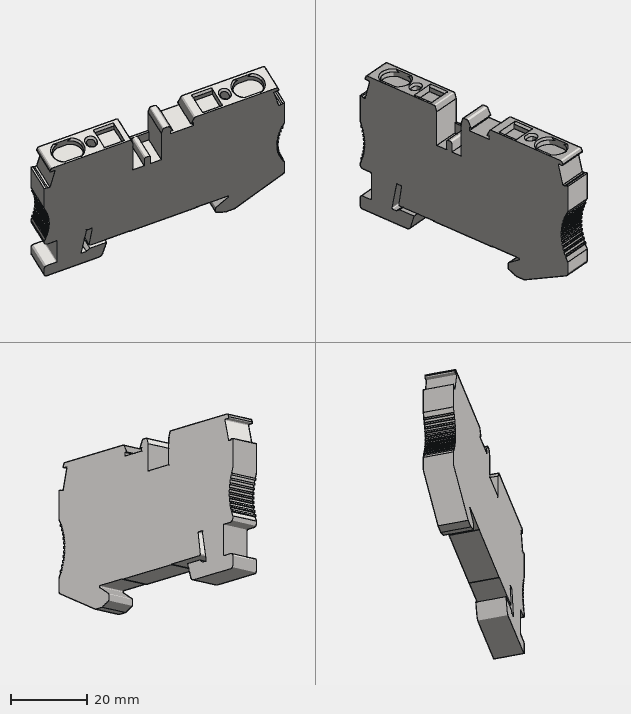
import cadquery as cq
import math

length = 69.55
height = 42.2
thickness = 8.2
half_length = length / 2

lip_top_y = 32.7
lip_tip_y = 33.1
lip_tip_z = 41.3
lip_underside_z = 40.9
groove_neck_y = 31.6
shoulder_inner_z = 34.9
shoulder_outer_z = 35.1
shoulder_flat_y = 34.2
shoulder_step_y = 33.75

notch_ear_z = 40.1
notch_floor_z = 39.1
notch_ear_left_y = 7.65
notch_ear_right_y = 2.4
notch_left_y = 8.35
notch_right_y = 1.8
notch_mouth_left_y = 8.75
notch_mouth_right_y = 1.3
slot_left_y = -0.9
slot_right_y = -9.1
slot_floor_z = 33.2
slot_bevel_width = 0.55
slot_bevel_z = 40.55

body_bottom_z = 6.05
claw_slope_top_z = 7.2
claw_flat_start_y = 20.25
claw_flat_end_y = 17.5
claw_nose_y = 14.8
claw_nose_low_z = 1.25
claw_nose_high_z = 3.1
claw_root_y = 19.2
spring_gap_top_z = 12.6
spring_gap_bottom_z = 4.1
body_corner_y = -21.85
gap_top_left_y = -20.9
gap_top_right_y = -22.55
gap_bottom_right_y = -24.15
gap_bottom_left_y = -22.6
hook_top_z = 4.9
hook_top_y = -21.55
hook_tip_y = -16.7
hook_heel_y = -18.15
stem_y = -31.0
pad_depth = 0.15
pad_start_y = 9.4
pad_end_y = -10.15

grip_radius = 15.0
rib_pitch = 1.25
rib_width = 0.5
rib_height = 0.35
rib_root = 0.2
front_grip_z = 20.6
front_grip_half_chord = 6.5
front_rib_count = 9
front_grip_edge_round = 2.1
back_grip_z = 19.35
back_grip_half_chord = 7.85
back_rib_count = 11

small_round = 0.3
stem_round = 0.35
edge_round = 0.4
lip_round = 0.55
notch_round = 0.7
foot_round = 0.8
end_round = 1.05
heel_round = 1.25

along_x = 0
along_y = 90
opening_x = 0.15
opening_width = 6.75
opening_depth = 2.1
lead_in_depth = 0.7
wire_y = 26.1
wire_length = 9.1
wire_end_radius = 3.9
wire_inset = 0.4
test_hole_y = 19.35
test_hole_width = 3.8
test_hole_length = 3.1
test_hole_inset = 0.5
test_hole_depth = 3.5
window_y = 14.2
window_length = 5.8
window_inset = 0.5

recess_wall = 0.6
recess_depth = 3.1
floor_rib_start_y = -4.0
floor_rib_end_y = -5.85
floor_rib_round = 0.6


def outline_points():
    """Side outline as (y, z), from the +Y end over the top and back along the rail foot."""
    return [
        (half_length, claw_slope_top_z),
        (half_length, shoulder_outer_z),
        (shoulder_flat_y, shoulder_outer_z),
        (shoulder_step_y, shoulder_inner_z),
        (lip_tip_y, shoulder_inner_z),
        (groove_neck_y, lip_underside_z),
        (lip_tip_y, lip_underside_z),
        (lip_tip_y, lip_tip_z),
        (lip_top_y, height),
        (notch_mouth_left_y, height),
        (notch_ear_left_y, notch_ear_z),
        (notch_left_y, notch_ear_z),
        (notch_left_y, notch_floor_z),
        (notch_right_y, notch_floor_z),
        (notch_right_y, notch_ear_z),
        (notch_ear_right_y, notch_ear_z),
        (notch_mouth_right_y, height),
        (slot_left_y + slot_bevel_width, height),
        (slot_left_y, slot_bevel_z),
        (slot_left_y, slot_floor_z),
        (slot_right_y, slot_floor_z),
        (slot_right_y, slot_bevel_z),
        (slot_right_y - slot_bevel_width, height),
        (-lip_top_y, height),
        (-lip_tip_y, lip_tip_z),
        (-lip_tip_y, lip_underside_z),
        (-groove_neck_y, lip_underside_z),
        (-lip_tip_y, shoulder_inner_z),
        (-shoulder_step_y, shoulder_inner_z),
        (-shoulder_flat_y, shoulder_outer_z),
        (-half_length, shoulder_outer_z),
        (-half_length, spring_gap_top_z),
        (stem_y, spring_gap_top_z),
        (stem_y, spring_gap_bottom_z),
        (-half_length, spring_gap_bottom_z),
        (-half_length, 0),
        (hook_heel_y, 0),
        (hook_tip_y, hook_top_z),
        (hook_top_y, hook_top_z),
        (gap_bottom_left_y, spring_gap_bottom_z),
        (gap_bottom_right_y, spring_gap_bottom_z),
        (gap_top_right_y, spring_gap_top_z),
        (gap_top_left_y, spring_gap_top_z),
        (body_corner_y, body_bottom_z),
        (claw_root_y, body_bottom_z),
        (claw_nose_y, claw_nose_high_z),
        (claw_nose_y, claw_nose_low_z),
        (claw_flat_end_y, 0),
        (claw_flat_start_y, 0),
    ]


rounded_corners = [
    (half_length, claw_slope_top_z, end_round),
    (lip_top_y, height, lip_round),
    (-lip_top_y, height, lip_round),
    (slot_left_y + slot_bevel_width, height, edge_round),
    (slot_right_y - slot_bevel_width, height, edge_round),
    (lip_tip_y, lip_underside_z, small_round),
    (groove_neck_y, lip_underside_z, small_round),
    (-lip_tip_y, lip_underside_z, small_round),
    (-groove_neck_y, lip_underside_z, small_round),
    (notch_mouth_left_y, height, notch_round),
    (notch_mouth_right_y, height, notch_round),
    (-half_length, spring_gap_top_z, end_round),
    (-half_length, spring_gap_bottom_z, foot_round),
    (-half_length, 0, foot_round),
    (stem_y, spring_gap_top_z, stem_round),
    (stem_y, spring_gap_bottom_z, stem_round),
    (hook_heel_y, 0, heel_round),
    (gap_bottom_right_y, spring_gap_bottom_z, small_round),
    (gap_top_left_y, spring_gap_top_z, small_round),
    (body_corner_y, body_bottom_z, edge_round),
    (claw_root_y, body_bottom_z, small_round),
    (claw_nose_y, claw_nose_high_z, edge_round),
    (claw_nose_y, claw_nose_low_z, small_round),
]


def side_prism(profile):
    """Extrude a closed (y, z) profile over the full thickness."""
    return profile.extrude(thickness / 2, both=True)


def round_corner(body, y, z, radius):
    """Fillet the one edge along X that passes through (y, z)."""
    reach = 0.1
    corner = cq.selectors.BoxSelector((-reach, y - reach, z - reach), (reach, y + reach, z + reach))
    return body.edges(corner).fillet(radius)


def make_body():
    """Rounded side outline with a shallow pad under the middle of the body."""
    body = side_prism(cq.Workplane("YZ").polyline(outline_points()).close())
    for y, z, radius in rounded_corners:
        body = round_corner(body, y, z, radius)
    pad_center = ((pad_start_y + pad_end_y) / 2, body_bottom_z)
    pad = cq.Workplane("YZ").center(*pad_center).rect(pad_start_y - pad_end_y, 2 * pad_depth)
    return body.union(side_prism(pad))


def grip_axis_y(end, half_chord):
    """Y of the arc axis, outside the end face."""
    return end * (half_length + math.sqrt(grip_radius**2 - half_chord**2))


def cut_grip(body, end, center_z, half_chord):
    """Hollow the end face (end is +1 or -1 along Y) with a shallow arc."""
    axis_y = grip_axis_y(end, half_chord)
    return body.cut(side_prism(cq.Workplane("YZ").center(axis_y, center_z).circle(grip_radius)))


def add_grip_ribs(body, end, center_z, half_chord, rib_count):
    """Set evenly spaced ribs along the hollow, each pointing at its axis."""
    rib_middle = grip_radius + (rib_root - rib_height) / 2
    for index in range(rib_count):
        rib_z = (index - (rib_count - 1) / 2) * rib_pitch
        angle = math.degrees(math.asin(rib_z / grip_radius))
        rib = cq.Workplane("YZ").center(-end * rib_middle, 0).rect(rib_root + rib_height, rib_width)
        rib = side_prism(rib).rotate((0, 0, 0), (1, 0, 0), -end * angle)
        body = body.union(rib.translate((0, grip_axis_y(end, half_chord), center_z)))
    return body


def top_plane(y):
    """Workplane on the top face, centred on an opening."""
    return cq.Workplane("XY", origin=(opening_x, y, height))


def tapered_slot(y, slot_length, slot_width, direction, inset, depth):
    """Slot with a conical lead-in that narrows it by the inset on every side."""
    taper = math.degrees(math.atan(inset / lead_in_depth))
    lead_in = top_plane(y).slot2D(slot_length, slot_width, direction).extrude(-lead_in_depth, taper=taper)
    bore = top_plane(y).slot2D(slot_length - 2 * inset, slot_width - 2 * inset, direction).extrude(-depth)
    return lead_in.union(bore)


def wire_opening(y):
    """Round-ended funnel whose long sides are cut flat."""
    funnel = tapered_slot(y, wire_length, 2 * wire_end_radius, along_y, wire_inset, opening_depth)
    sides = top_plane(y).rect(opening_width, wire_length).extrude(-opening_depth)
    return funnel.intersect(sides)


def test_hole(y):
    """Deep hole with a conical mouth."""
    return tapered_slot(y, test_hole_width, test_hole_length, along_x, test_hole_inset, test_hole_depth)


def window(y):
    """Rectangular pocket with a sloped lead-in on its two X sides."""
    floor_width = opening_width - 2 * window_inset
    lead_in = top_plane(y).rect(opening_width, window_length).workplane(offset=-lead_in_depth)
    lead_in = lead_in.rect(floor_width, window_length).loft(combine=True)
    pocket = top_plane(y).rect(floor_width, window_length).extrude(-opening_depth)
    return lead_in.union(pocket)


def floor_block(high_y, low_y):
    """Block below the slot floor, from the recess wall to the +X face."""
    middle_of_edge = (recess_wall - thickness / 2, (high_y + low_y) / 2, slot_floor_z - recess_depth)
    size = (thickness - recess_wall, high_y - low_y, recess_depth)
    return cq.Workplane("XY", origin=middle_of_edge).box(*size, centered=(False, True, False))


def slot_recess():
    """Recess below the slot floor, with the rounded rib left standing."""
    floor_rib = floor_block(floor_rib_start_y, floor_rib_end_y)
    floor_rib = floor_rib.edges("|X and >Z").fillet(floor_rib_round)
    return floor_block(slot_left_y, slot_right_y).cut(floor_rib)


result = make_body()
result = cut_grip(result, 1, back_grip_z, back_grip_half_chord)
result = cut_grip(result, -1, front_grip_z, front_grip_half_chord)
result = round_corner(result, -half_length, front_grip_z + front_grip_half_chord, front_grip_edge_round)
result = add_grip_ribs(result, 1, back_grip_z, back_grip_half_chord, back_rib_count)
result = add_grip_ribs(result, -1, front_grip_z, front_grip_half_chord, front_rib_count)
for side in (1, -1):
    result = result.cut(wire_opening(side * wire_y))
    result = result.cut(test_hole(side * test_hole_y))
    result = result.cut(window(side * window_y))
result = result.cut(slot_recess())